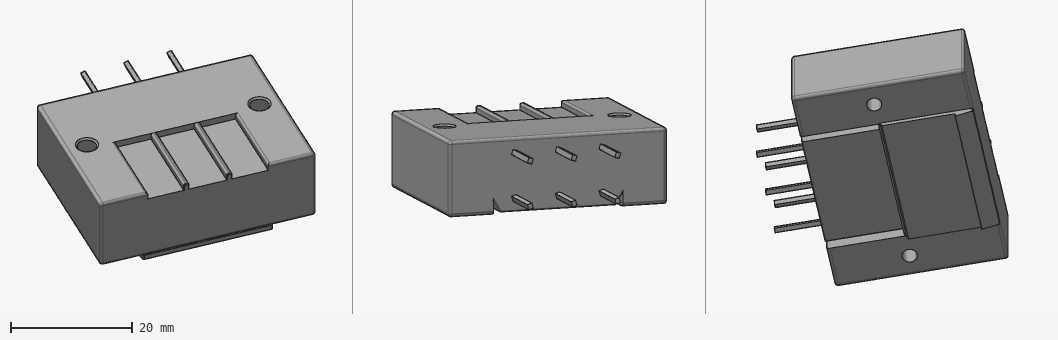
import cadquery as cq
import math


length = 29.05
width = 38.1
height = 12.75
edge_radius = 0.57
back_edge_radius = 0.45

pin_length = 7.95
pin_embed = 0.75
pin_width = 0.8
pin_depth = 0.9
pin_tilt = 17.0
pin_pitch = 7.62

recess_length = 14.85
recess_half_width = 10.63
recess_depth = 1.2
recess_lip_radius = 0.4
rib_pitch = 7.62
rib_width = 1.0
rib_end_chamfer = 0.15

hole_x = 13.2
hole_spacing = 30.48
hole_diameter = 2.5
bore_diameter = 3.2
bore_depth = height / 2
countersink_diameter = 3.8

clip_length = 15.62
clip_width = 22.85
clip_thickness = 0.85
clip_toe_run = 0.35
clip_end_chamfer = 0.15
hook_length = 3.0
hook_drop = 1.52

slot_half_width = 11.28
slot_height = 2.85
slot_ramp = 0.35
slot_length = length - clip_length - slot_ramp
tongue_bottom = slot_ramp
tongue_bottom_half_width = 10.02
tongue_flare_top = 2.35
tongue_edge_radius = 0.2


def make_housing():
    block = cq.Workplane("XY").box(length, width, height, centered=(False, True, False))
    block = block.edges("not >X").fillet(edge_radius)
    return block.faces(">X").edges().fillet(back_edge_radius)


def make_recess():
    floor = height - recess_depth
    lip_start = height - recess_lip_radius
    lip_half_width = recess_half_width + recess_lip_radius
    arc_inset = recess_lip_radius * math.sqrt(0.5)
    arc_y = lip_half_width - arc_inset
    arc_z = lip_start + arc_inset
    return (
        cq.Workplane("YZ", origin=(length - recess_length, 0, 0))
        .moveTo(-recess_half_width, floor)
        .lineTo(recess_half_width, floor)
        .lineTo(recess_half_width, lip_start)
        .threePointArc((arc_y, arc_z), (lip_half_width, height))
        .lineTo(-lip_half_width, height)
        .threePointArc((-arc_y, arc_z), (-recess_half_width, lip_start))
        .close()
        .extrude(recess_length)
    )


def make_rib(y):
    rib = (
        cq.Workplane("XY", origin=(length - recess_length, y, height - recess_depth))
        .box(recess_length, rib_width, recess_depth, centered=(False, True, False))
    )
    rib = rib.edges("|X and >Z").fillet(recess_lip_radius)
    return rib.faces(">X").edges(">Z").chamfer(rib_end_chamfer)


def make_screw_hole(y):
    """Stepped hole: countersunk mouth, wide bore, conical seat, narrow through hole."""
    hole_r = hole_diameter / 2
    bore_r = bore_diameter / 2
    mouth_r = countersink_diameter / 2
    bore_floor = height - bore_depth
    return (
        cq.Workplane("XZ", origin=(hole_x, y, 0))
        .polyline([
            (0, 0),
            (hole_r, 0),
            (hole_r, bore_floor - (bore_r - hole_r)),
            (bore_r, bore_floor),
            (bore_r, height - (mouth_r - bore_r)),
            (mouth_r, height),
            (0, height),
        ])
        .close()
        .revolve(360, (0, 0), (0, 1))
    )


def make_pin(y, z, tilt):
    return (
        cq.Workplane("YZ", origin=(-pin_length, y, z))
        .transformed(rotate=(0, 0, tilt))
        .rect(pin_width, pin_depth)
        .extrude(pin_length + pin_embed)
    )


def make_clip():
    toe = length - clip_length
    hook = length - hook_length
    clip = (
        cq.Workplane("XZ")
        .polyline([
            (toe, 0),
            (toe + clip_toe_run, -clip_thickness),
            (hook, -clip_thickness),
            (hook, -hook_drop),
            (length, -clip_thickness),
            (length, 0),
        ])
        .close()
        .extrude(clip_width / 2, both=True)
    )
    return clip.edges("|Z and >X").chamfer(clip_end_chamfer)


def make_slot():
    """Slot open at -X, with a 45 degree ramp down to the clip at its inner end."""
    return (
        cq.Workplane("XZ")
        .polyline([
            (0, 0),
            (slot_length + slot_ramp, 0),
            (slot_length, slot_ramp),
            (slot_length, slot_height),
            (0, slot_height),
        ])
        .close()
        .extrude(slot_half_width, both=True)
    )


def make_tongue():
    """Tongue that leaves a wedge-shaped groove open on each side of the slot."""
    tongue = (
        cq.Workplane("YZ")
        .polyline([
            (-tongue_bottom_half_width, tongue_bottom),
            (tongue_bottom_half_width, tongue_bottom),
            (slot_half_width, tongue_flare_top),
            (slot_half_width, slot_height),
            (-slot_half_width, slot_height),
            (-slot_half_width, tongue_flare_top),
        ])
        .close()
        .extrude(slot_length)
    )
    front_edges = tongue.faces("<X").edges("not (|Z or >Z)")
    return tongue.newObject(front_edges.vals()).fillet(tongue_edge_radius)


result = make_housing().cut(make_recess())
for y in (-rib_pitch / 2, rib_pitch / 2):
    result = result.union(make_rib(y))
result = result.cut(make_slot()).union(make_tongue())
for y in (-hole_spacing / 2, hole_spacing / 2):
    result = result.cut(make_screw_hole(y))
result = result.union(make_clip())
for row in (-1, 1):
    for column in (-1, 0, 1):
        pin_y = column * pin_pitch
        pin_z = height / 2 + row * pin_pitch / 2
        result = result.union(make_pin(pin_y, pin_z, row * pin_tilt))